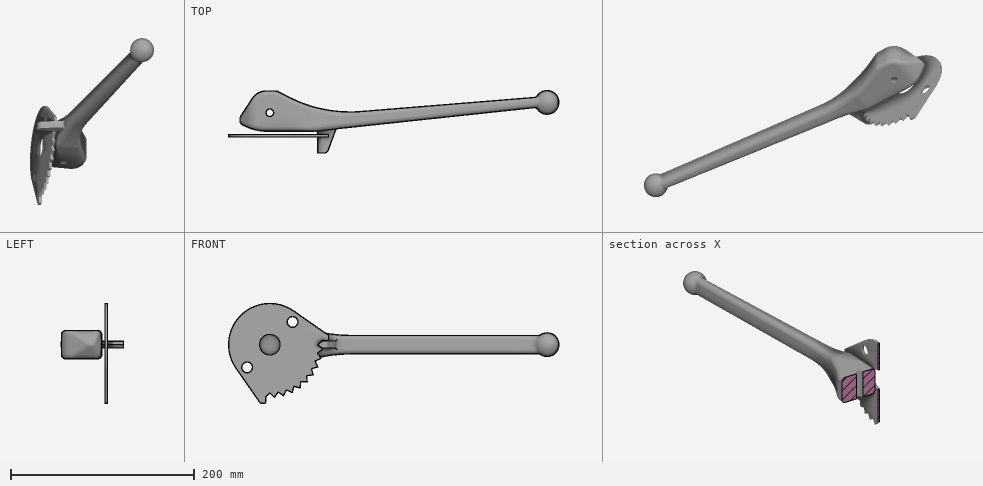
import cadquery as cq
import math

plate_thickness = 3.0
plate_radius = 45.0
pivot_hole_diameter = 22.5
mount_hole_diameter = 11.5
mount_hole_offset = 24.75
tooth_root_radius = 52.5
tooth_tip_radius = 57.7
tooth_pitch = 10.0
tooth_count = 9
stop_reach = 63.83
stop_inner = 4.3
stop_outer = 10.3
stop_corner_radius = 2.0

edge_radius = 5.0
hub_front = 6.2
hub_back = 50.4
hub_half_height = 15.6
arm_half_height = 10.15
hub_front_start_x = -15.8
hub_back_start_x = -13.7
hub_back_end_x = 7.5
hub_end_x = 45.5
arm_bend_x = 46.0
waist_x = 58.0
waist_y = 24.7
arm_side_start_x = 70.0
arm_end = 298.0
arm_front_angle = 6.1
arm_back_angle = 4.64
nose_x = -36.0
nose_y = 16.5
wedge_tip_x = -34.3
nose_radius = 3.0
wedge_tip_radius = 4.0
wedge_shoulder_radius = 13.9
hub_front_radius = 60.0
hub_back_radius = 18.0
hub_back_end_radius = 10.0
arm_bend_radius = 40.0
waist_radius = 145.0
hub_end_radius = 13.0
arm_side_radius = 165.0
pin_hole_diameter = 8.0
pin_hole_y = 26.6

ball_radius = 13.0
knob_end_x = 314.83
ball_x = knob_end_x - ball_radius
ball_top = 50.9
ball_y = ball_top - ball_radius
neck_radius = 3.0

overall_depth = 68.31
pawl_tip_y = ball_top - overall_depth
pawl_point_x = 52.1
pawl_point_length = 5.0
pawl_half_height = 3.8
pawl_back_x = 75.0
pawl_tip_back_x = 62.5
pawl_root_y = 12.0
pawl_slope = 20.0
pawl_shoulder_radius = 2.0
pawl_corner_radius = 5.0
pawl_root_radius = 2.0


def tan_deg(angle):
    return math.tan(math.radians(angle))


def polar(radius, angle):
    return (radius * math.cos(math.radians(angle)), radius * math.sin(math.radians(angle)))


def rounded_outline(plane, corners):
    """Closed outline through (x, y, radius) corners, each rounded by a tangent arc."""
    path = None
    for i, (x, y, radius) in enumerate(corners):
        corner = cq.Vector(x, y)
        to_last = (cq.Vector(*corners[i - 1][:2]) - corner).normalized()
        to_next = (cq.Vector(*corners[(i + 1) % len(corners)][:2]) - corner).normalized()
        half_angle = to_last.getAngle(to_next) / 2
        setback = radius / math.tan(half_angle)
        start = corner + to_last * setback
        path = path.lineTo(start.x, start.y) if path else cq.Workplane(plane).moveTo(start.x, start.y)
        if radius > 0:
            end = corner + to_next * setback
            bisector = (to_last + to_next).normalized()
            middle = corner + bisector * (radius / math.sin(half_angle) - radius)
            path = path.threePointArc((middle.x, middle.y), (end.x, end.y))
    return path.close()


def ratchet_plate():
    stop_distance = math.hypot(stop_outer, stop_reach)
    tangent_turn = math.degrees(math.acos(plate_radius / stop_distance))
    upper_tangent = math.degrees(math.atan2(stop_outer, stop_reach)) + tangent_turn
    lower_tangent = -90 - upper_tangent
    lead_in = tooth_root_radius + stop_inner

    def stop_corner(x, z):
        return (x, z, stop_corner_radius)

    def sharp(x, z):
        return (x, z, 0)

    corners = [
        sharp(*polar(plate_radius, lower_tangent)),
        stop_corner(-stop_outer, -stop_reach),
        stop_corner(-stop_inner, -stop_reach),
        sharp(-stop_inner, -lead_in),
    ]
    for tooth in range(tooth_count):
        root_angle = -90 + tooth * tooth_pitch
        corners.append(sharp(*polar(tooth_root_radius, root_angle)))
        corners.append(sharp(*polar(tooth_tip_radius, root_angle + tooth_pitch / 2)))
    corners += [
        sharp(tooth_root_radius, 0),
        sharp(lead_in, stop_inner),
        stop_corner(stop_reach, stop_inner),
        stop_corner(stop_reach, stop_outer),
        sharp(*polar(plate_radius, upper_tangent)),
    ]
    sector = rounded_outline("XZ", corners).extrude(-plate_thickness)
    disc = cq.Workplane("XZ").circle(plate_radius).extrude(-plate_thickness)
    mounts = [(mount_hole_offset, mount_hole_offset), (-mount_hole_offset, -mount_hole_offset)]
    holes = cq.Workplane("XZ").circle(pivot_hole_diameter / 2).extrude(-plate_thickness)
    holes = holes.union(
        cq.Workplane("XZ").pushPoints(mounts).circle(mount_hole_diameter / 2).extrude(-plate_thickness)
    )
    return disc.union(sector).cut(holes)


def outline_edges(body):
    """Edges along the side wall, leaving out the seams that run straight across at one x."""
    shortest_x_run = 0.001

    def runs_along_x(edge):
        return abs(edge.endPoint().x - edge.startPoint().x) > shortest_x_run

    return [edge for edge in body.edges().vals() if runs_along_x(edge)]


def lever():
    arm_end_front = hub_front + (arm_end - arm_bend_x) * tan_deg(arm_front_angle)
    arm_end_back = waist_y + (arm_end - waist_x) * tan_deg(arm_back_angle)
    plan = [
        (nose_x, nose_y, nose_radius),
        (hub_front_start_x, hub_front, hub_front_radius),
        (arm_bend_x, hub_front, arm_bend_radius),
        (arm_end, arm_end_front, 0),
        (arm_end, arm_end_back, 0),
        (waist_x, waist_y, waist_radius),
        (hub_back_end_x, hub_back, hub_back_end_radius),
        (hub_back_start_x, hub_back, hub_back_radius),
    ]
    upper_side = [
        (arm_end, arm_half_height, 0),
        (arm_side_start_x, arm_half_height, arm_side_radius),
        (hub_end_x, hub_half_height, hub_end_radius),
        (wedge_tip_x + hub_half_height, hub_half_height, wedge_shoulder_radius),
    ]
    lower_side = [(x, -z, radius) for x, z, radius in reversed(upper_side)]
    side = [(wedge_tip_x, 0, wedge_tip_radius)] + lower_side + upper_side
    blank = rounded_outline("XY", plan).extrude(hub_half_height, both=True)
    body = blank.intersect(rounded_outline("XZ", side).extrude(-hub_back))
    return body.newObject(outline_edges(body)).fillet(edge_radius)


def add_ball(body):
    """Add the ball knob and round the neck where the arm runs into it."""
    joined = body.union(cq.Workplane("XY").sphere(ball_radius).translate((ball_x, ball_y, 0)))
    neck_start = ball_x - 1.5 * ball_radius
    neck_end = arm_end - neck_radius / 2
    neck = cq.selectors.BoxSelector(
        (neck_start, ball_y - ball_radius, -ball_radius),
        (neck_end, ball_y + ball_radius, ball_radius),
        boundingbox=True,
    )
    return joined.edges(neck).fillet(neck_radius)


def pawl():
    shoulder_x = pawl_point_x + pawl_point_length
    section = [
        (pawl_point_x, 0, 0),
        (shoulder_x, -pawl_half_height, pawl_shoulder_radius),
        (pawl_back_x, -pawl_half_height, 0),
        (pawl_back_x, pawl_half_height, 0),
        (shoulder_x, pawl_half_height, pawl_shoulder_radius),
    ]
    sloped_back_x = pawl_tip_back_x + (pawl_root_y - pawl_tip_y) * tan_deg(pawl_slope)
    plan = [
        (pawl_point_x, pawl_tip_y, 0),
        (pawl_tip_back_x, pawl_tip_y, pawl_corner_radius),
        (sloped_back_x, pawl_root_y, 0),
        (pawl_point_x, pawl_root_y, 0),
    ]
    prism = rounded_outline("XZ", section).extrude(pawl_tip_y - pawl_root_y)
    prism = prism.translate((0, pawl_tip_y, 0))
    return prism.intersect(rounded_outline("XY", plan).extrude(pawl_half_height, both=True))


def add_pawl(body):
    """Add the pawl and round its root on the front of the lever."""
    joined = body.union(pawl())
    margin = 1.0
    root = cq.selectors.BoxSelector(
        (pawl_point_x - margin, plate_thickness, -pawl_half_height - margin),
        (pawl_back_x + margin, pawl_root_y, pawl_half_height + margin),
        boundingbox=True,
    )
    return joined.edges(root).fillet(pawl_root_radius)


def pin_hole():
    hole = cq.Workplane("XY").center(0, pin_hole_y).circle(pin_hole_diameter / 2)
    return hole.extrude(hub_half_height, both=True)


handle = add_pawl(add_ball(lever()))
result = handle.cut(pin_hole()).union(ratchet_plate())